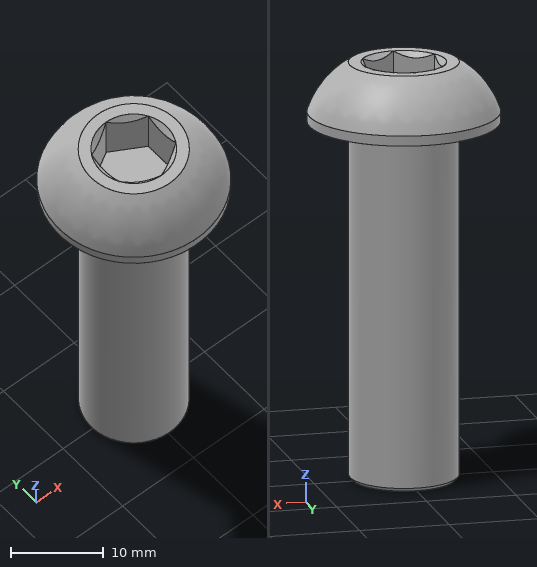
import cadquery as cq
import math

total_length = 46.6
head_height = 6.6
head_diameter = 21.0
rim_height = 1.1
shank_diameter = 12.0
top_flat_diameter = shank_diameter
dome_bulge = 0.65
tip_chamfer_height = 0.4
tip_chamfer_width = 0.35
hex_across_flats = 8.0
socket_depth = 5.6
lead_in_angle = 45
hex_corner_diameter = hex_across_flats / math.cos(math.pi / 6)

bearing_z = total_length - head_height
rim_top_z = bearing_z + rim_height


def dome_midpoint():
    """Point halfway along the dome arc, pushed outwards from its chord."""
    rim_radius = head_diameter / 2
    top_radius = top_flat_diameter / 2
    run = rim_radius - top_radius
    rise = total_length - rim_top_z
    chord = math.hypot(run, rise)
    radius = (rim_radius + top_radius) / 2 + dome_bulge * rise / chord
    height = (rim_top_z + total_length) / 2 + dome_bulge * run / chord
    return radius, height


def screw_body():
    """Shank with chamfered tip and domed head, revolved about Z."""
    shank_radius = shank_diameter / 2
    profile = (
        cq.Workplane("XZ")
        .lineTo(shank_radius - tip_chamfer_width, 0)
        .lineTo(shank_radius, tip_chamfer_height)
        .lineTo(shank_radius, bearing_z)
        .lineTo(head_diameter / 2, bearing_z)
        .lineTo(head_diameter / 2, rim_top_z)
        .threePointArc(dome_midpoint(), (top_flat_diameter / 2, total_length))
        .lineTo(0, total_length)
        .close()
    )
    return profile.revolve(360, (0, 0, 0), (0, 1, 0))


def hex_socket():
    """Hexagonal key socket with two corners on the Y axis."""
    return (
        cq.Workplane("XY", origin=(0, 0, total_length - socket_depth))
        .transformed(rotate=(0, 0, 90))
        .polygon(6, hex_corner_diameter)
        .extrude(socket_depth)
    )


def socket_lead_in():
    """Conical countersink easing the mouth of the socket at its corners."""
    mouth_radius = hex_corner_diameter / 2
    cone_depth = mouth_radius * math.tan(math.radians(lead_in_angle))
    return cq.Workplane(
        cq.Solid.makeCone(0, mouth_radius, cone_depth, cq.Vector(0, 0, total_length - cone_depth))
    )


result = screw_body().cut(hex_socket()).cut(socket_lead_in())